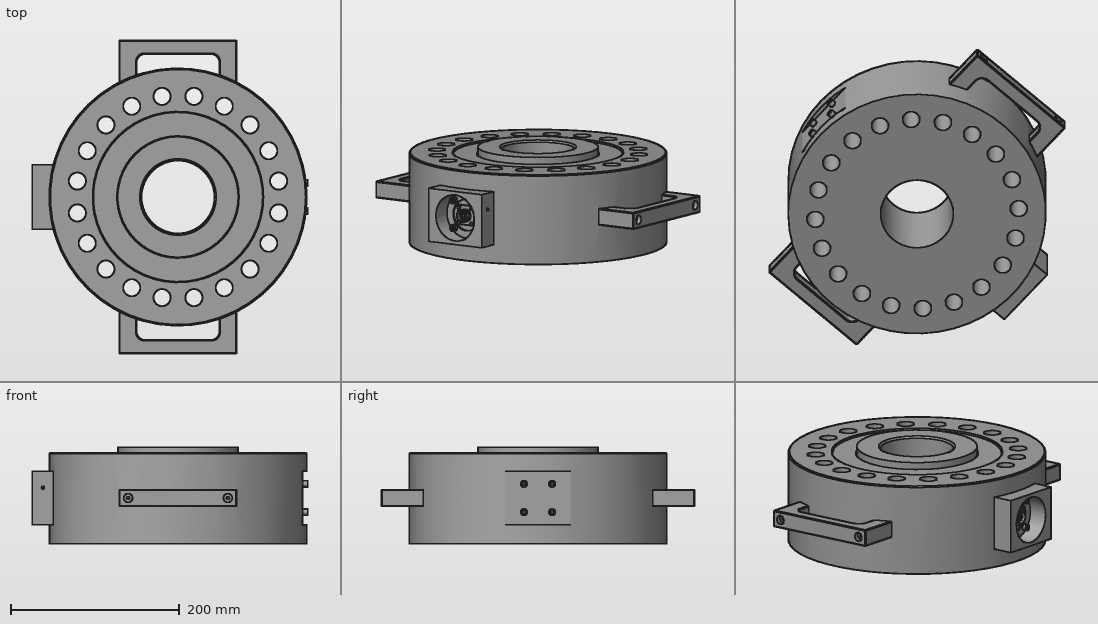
import cadquery as cq
import math

BODY_RADIUS = 152.5
BODY_HEIGHT = 108.0
BODY_CHAMFER = 1.5
HUB_RADIUS = 71.2
HUB_HEIGHT = 114.2
BORE_RADIUS = 43.0
BORE_CHAMFER = 2.2
SUNK_FACE_RADIUS = 101.2
SUNK_FACE_DEPTH = 2.0
GAP_WIDTH = 1.0
GAP_DEPTH = 2.0

BOLT_COUNT = 20
BOLT_HOLE_DIAMETER = 20.0
BOLT_CIRCLE_RADIUS = 120.5

MID_Z = 54.0

HANDLE_REACH = 185.5
HANDLE_WIDTH = 139.5
HANDLE_THICKNESS = 20.0
HANDLE_CHAMFER = 1.0
CHAMFER_ANGLE = 45
GRIP_WIDTH = 98.0
GRIP_BAR = 16.5
GRIP_CORNER_RADIUS = 10.0
HANDLE_SCREW_SPACING = 118.0
HANDLE_SCREW_DIAMETER = 10.5
HANDLE_SCREW_RECESS = 5.5
HEX_SOCKET = 4.0
HEX_SOCKET_DEPTH = 2.2

PAD_WIDTH = 76.5
PAD_HEIGHT = 63.8
FLAT_X = math.sqrt(BODY_RADIUS**2 - (PAD_WIDTH / 2) ** 2)
BLOCK_FACE_X = 172.5
BLOCK_BORE_DIAMETER = 55.3
BLOCK_FLOOR = 2.0
FLOOR_HOLE_DIAMETER = 37.5
SET_SCREW_DIAMETER = 3.3
SET_SCREW_X = 160.0
SET_SCREW_RISE = 12.2
SET_SCREW_DEPTH = 5.5

COVER_SCREW_SPACING = 33.5
COVER_SCREW_DIAMETER = 7.8
COVER_SCREW_TIP_X = 153.5

FLANGE_SIDE = 23.5
FLANGE_THICKNESS = 3.0
FLANGE_SCREW_SPACING = 18.5
FLANGE_SCREW_DIAMETER = 4.0
FLANGE_SCREW_HEIGHT = 1.5
BARREL_DIAMETER = 15.0
BARREL_WALL = 0.7
BARREL_TIP_X = 158.5
SOCKET_DEPTH = 5.5
PIN_COUNT = 6
PIN_CIRCLE_RADIUS = 3.5
PIN_DIAMETER = 1.52
PIN_LENGTH = 3.7


def plane_at(x, outward):
    """Plane normal to X at mid height; local x runs along Y, outward is +1 or -1."""
    return cq.Workplane(cq.Plane((x, 0, MID_Z), (0, outward, 0), (outward, 0, 0)))


def left_face(distance):
    """Plane facing -X at the given distance from the axis."""
    return plane_at(-distance, -1)


def make_body():
    """Ring whose sunk annular face is bordered by a narrow gap on both sides, with the hub inside."""
    body = cq.Workplane().circle(BODY_RADIUS).extrude(BODY_HEIGHT)
    body = body.faces(">Z").edges().chamfer(BODY_CHAMFER)
    sunk_face = (
        cq.Workplane(origin=(0, 0, BODY_HEIGHT - SUNK_FACE_DEPTH))
        .circle(SUNK_FACE_RADIUS)
        .extrude(SUNK_FACE_DEPTH)
    )
    body = body.cut(sunk_face)
    for inner_radius in (HUB_RADIUS, SUNK_FACE_RADIUS - GAP_WIDTH):
        gap = (
            cq.Workplane(origin=(0, 0, BODY_HEIGHT - SUNK_FACE_DEPTH - GAP_DEPTH))
            .circle(inner_radius + GAP_WIDTH)
            .circle(inner_radius)
            .extrude(GAP_DEPTH)
        )
        body = body.cut(gap)
    hub = cq.Workplane().circle(HUB_RADIUS).extrude(HUB_HEIGHT)
    return body.union(hub)


def make_bore():
    bore = cq.Workplane().circle(BORE_RADIUS).extrude(HUB_HEIGHT)
    countersink = cq.Solid.makeCone(
        BORE_RADIUS,
        BORE_RADIUS + BORE_CHAMFER,
        BORE_CHAMFER,
        pnt=cq.Vector(0, 0, HUB_HEIGHT - BORE_CHAMFER),
    )
    return bore.union(cq.Workplane(countersink))


def make_bolt_holes():
    first_angle = 180 / BOLT_COUNT
    return (
        cq.Workplane()
        .polarArray(BOLT_CIRCLE_RADIUS, first_angle, 360, BOLT_COUNT)
        .circle(BOLT_HOLE_DIAMETER / 2)
        .extrude(BODY_HEIGHT)
    )


def make_handles():
    """One long bar through the body leaves a handle on the -Y and the +Y side."""
    handles = cq.Workplane(origin=(0, 0, MID_Z)).box(HANDLE_WIDTH, 2 * HANDLE_REACH, HANDLE_THICKNESS)
    handles = handles.edges().chamfer(HANDLE_CHAMFER)
    grip_opening = (
        cq.Workplane(origin=(0, 0, MID_Z))
        .box(GRIP_WIDTH, 2 * (HANDLE_REACH - GRIP_BAR), HANDLE_THICKNESS)
        .edges("|Z")
        .fillet(GRIP_CORNER_RADIUS)
    )
    handles = handles.cut(grip_opening)
    for face, inward in ((">Z", -1), ("<Z", 1)):
        rim = grip_opening.faces(face).wires().toPending()
        rim = rim.offset2D(HANDLE_CHAMFER).extrude(inward * HANDLE_CHAMFER, taper=CHAMFER_ANGLE)
        handles = handles.cut(rim)
    for side in (-1, 1):
        end = cq.Workplane(cq.Plane((0, side * HANDLE_REACH, MID_Z), (1, 0, 0), (0, side, 0)))
        screws = end.rarray(HANDLE_SCREW_SPACING, 3.7, 2, 1)
        recesses = screws.circle(HANDLE_SCREW_DIAMETER / 2).extrude(-HANDLE_SCREW_RECESS)
        sockets = screws.polygon(6, HEX_SOCKET).extrude(-HANDLE_SCREW_RECESS - HEX_SOCKET_DEPTH)
        handles = handles.cut(recesses).cut(sockets)
    return handles


def make_flat_cut(outward):
    depth = BODY_RADIUS - FLAT_X
    return plane_at(outward * FLAT_X, outward).rect(PAD_WIDTH, PAD_HEIGHT).extrude(depth)


def make_connector_block():
    block = left_face(FLAT_X).rect(PAD_WIDTH, PAD_HEIGHT).extrude(BLOCK_FACE_X - FLAT_X)
    bore_depth = BLOCK_FACE_X - FLAT_X - BLOCK_FLOOR
    bore = left_face(BLOCK_FACE_X).circle(BLOCK_BORE_DIAMETER / 2).extrude(-bore_depth)
    floor_hole = left_face(FLAT_X).circle(FLOOR_HOLE_DIAMETER / 2).extrude(BLOCK_FLOOR)
    set_screw_hole = cq.Workplane(
        cq.Solid.makeCylinder(
            SET_SCREW_DIAMETER / 2,
            SET_SCREW_DEPTH,
            cq.Vector(-SET_SCREW_X, -PAD_WIDTH / 2, MID_Z + SET_SCREW_RISE),
            cq.Vector(0, 1, 0),
        )
    )
    return block.cut(bore).cut(floor_hole).cut(set_screw_hole)


def make_cover_screws(outward):
    head_height = COVER_SCREW_TIP_X - FLAT_X
    heads = (
        plane_at(outward * FLAT_X, outward)
        .rarray(COVER_SCREW_SPACING, COVER_SCREW_SPACING, 2, 2)
        .circle(COVER_SCREW_DIAMETER / 2)
        .extrude(head_height)
    )
    sockets = (
        plane_at(outward * COVER_SCREW_TIP_X, outward)
        .rarray(COVER_SCREW_SPACING, COVER_SCREW_SPACING, 2, 2)
        .polygon(6, HEX_SOCKET)
        .extrude(-HEX_SOCKET_DEPTH)
    )
    return heads.cut(sockets)


def make_connector():
    flange_x = FLAT_X + FLANGE_THICKNESS
    flange = left_face(FLAT_X).rect(FLANGE_SIDE, FLANGE_SIDE).extrude(FLANGE_THICKNESS)
    screws = (
        left_face(flange_x)
        .rarray(FLANGE_SCREW_SPACING, FLANGE_SCREW_SPACING, 2, 2)
        .circle(FLANGE_SCREW_DIAMETER / 2)
        .extrude(FLANGE_SCREW_HEIGHT)
    )
    barrel = left_face(FLAT_X).circle(BARREL_DIAMETER / 2).extrude(BARREL_TIP_X - FLAT_X)
    socket = left_face(BARREL_TIP_X).circle(BARREL_DIAMETER / 2 - BARREL_WALL).extrude(-SOCKET_DEPTH)
    pins = (
        left_face(BARREL_TIP_X - SOCKET_DEPTH)
        .polarArray(PIN_CIRCLE_RADIUS, 0, 360, PIN_COUNT)
        .circle(PIN_DIAMETER / 2)
        .extrude(PIN_LENGTH)
    )
    return flange.union(screws).union(barrel).cut(socket).union(pins)


result = make_body().union(make_handles())
for direction in (-1, 1):
    result = result.cut(make_flat_cut(direction))
result = result.union(make_connector_block()).union(make_connector())
for direction in (-1, 1):
    result = result.union(make_cover_screws(direction))
result = result.cut(make_bore()).cut(make_bolt_holes())